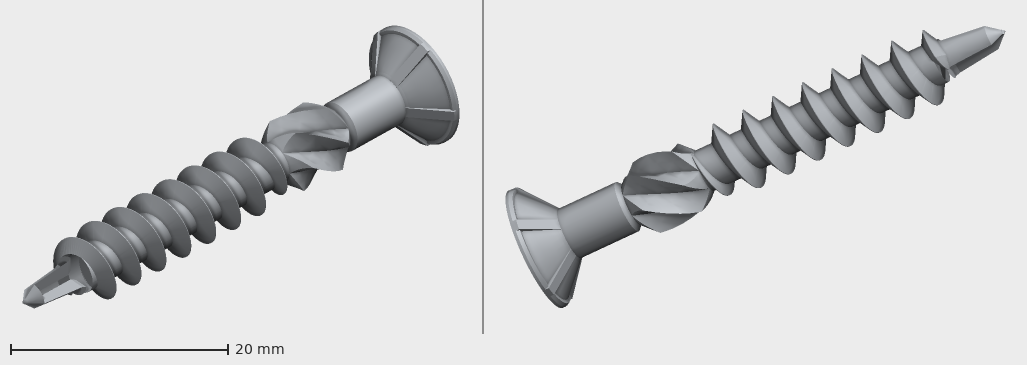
import cadquery as cq
import math


TOTAL_LENGTH = 48.97

HEAD_RADIUS = 11.9 / 2
RIM_HEIGHT = 0.3
RIM_CHAMFER_RADIUS = 5.75
RIM_BOTTOM = 0.65
CONE_TOP_RADIUS = 5.4
CONE_BOTTOM_RADIUS = 2.72
CONE_BOTTOM = 3.3
HEAD_BOTTOM = 3.55

RIB_COUNT = 5
RIB_WIDTH = 1.05

SHANK_RADIUS = 2.5
SHANK_BOTTOM = 10.0
CORE_RADIUS = 2.05
SHANK_CHAMFER = SHANK_RADIUS - CORE_RADIUS

REAMER_TOP = SHANK_BOTTOM
REAMER_LENGTH = 7.6
REAMER_RADIUS = 3.6
REAMER_TEETH = 6
REAMER_TWIST_RATE = 11.5
REAMER_START_ANGLE = 61.0
ENVELOPE_CLEARANCE = 0.15

THREAD_PITCH = 3.1
THREAD_RADIUS = 3.6
THREAD_ROOT_DEPTH = 1.65
THREAD_FLANK_SLOPE = 0.6
CREST_HALF_WIDTH = 0.03
THREAD_DEPTH_AT_ZERO = 15.8
LEAD_IN_START = 90.0
LEAD_IN_END = 450.0
FALL_START = 2880.0
RUN_OUT_START = 3114.0
RUN_OUT_END = 3158.0
LEAD_IN_RADIUS = 1.75
RUN_OUT_RADIUS = 3.12
END_RADIUS = 2.0
SAMPLES_PER_TURN = 24

TAPER_TOP = 42.1
TAPER_BOTTOM = 47.5
TAPER_BOTTOM_RADIUS = 1.38
FLUTE_TOP = 42.8
FLUTE_RAMP_LENGTH = 0.45
FLUTE_RAMP_INSET = 0.2
FLUTE_CHAMFER = 0.32


def make_body():
    """Revolved head, shank, core and drill point."""
    outline = [
        (0, 0),
        (HEAD_RADIUS, 0),
        (HEAD_RADIUS, RIM_HEIGHT),
        (RIM_CHAMFER_RADIUS, RIM_BOTTOM),
        (CONE_TOP_RADIUS, RIM_BOTTOM),
        (CONE_BOTTOM_RADIUS, CONE_BOTTOM),
        (SHANK_RADIUS, HEAD_BOTTOM),
        (SHANK_RADIUS, SHANK_BOTTOM - SHANK_CHAMFER),
        (CORE_RADIUS, SHANK_BOTTOM),
        (CORE_RADIUS, TAPER_TOP),
        (TAPER_BOTTOM_RADIUS, TAPER_BOTTOM),
        (0, TOTAL_LENGTH),
    ]
    return revolve_outline(outline)


def revolve_outline(outline):
    """Revolve a closed (radius, depth) outline about the screw axis."""
    return cq.Workplane("XZ").polyline(outline).close().revolve(360, (0, 0), (0, 1))


def make_ribs():
    """Flat-topped radial ribs running down the head cone to the shank."""
    rib = (
        cq.Workplane("XZ")
        .polyline([
            (0, RIM_HEIGHT),
            (HEAD_RADIUS, RIM_HEIGHT),
            (HEAD_RADIUS, RIM_BOTTOM),
            (SHANK_RADIUS, HEAD_BOTTOM),
            (0, HEAD_BOTTOM),
        ])
        .close()
        .extrude(RIB_WIDTH / 2, both=True)
    )
    ribs = rib
    for index in range(1, RIB_COUNT):
        ribs = ribs.union(rib.rotate((0, 0, 0), (0, 0, 1), index * 360 / RIB_COUNT))
    return ribs.intersect(cq.Workplane("XY").circle(HEAD_RADIUS).extrude(HEAD_BOTTOM))


def make_reamer():
    """Twisted star-shaped cutter with both ends bevelled at 45 degrees."""
    half_tooth = math.pi / REAMER_TEETH
    start = math.radians(REAMER_START_ANGLE)
    star = []
    for index in range(2 * REAMER_TEETH):
        radius = REAMER_RADIUS if index % 2 == 0 else CORE_RADIUS
        angle = start + index * half_tooth
        star.append((radius * math.cos(angle), radius * math.sin(angle)))
    cutter = (
        cq.Workplane("XY", origin=(0, 0, REAMER_TOP))
        .polyline(star)
        .close()
        .twistExtrude(REAMER_LENGTH, REAMER_TWIST_RATE * REAMER_LENGTH)
    )
    bottom = REAMER_TOP + REAMER_LENGTH
    outer_radius = REAMER_RADIUS + ENVELOPE_CLEARANCE
    bevel = outer_radius - CORE_RADIUS
    envelope = revolve_outline([
        (0, REAMER_TOP),
        (CORE_RADIUS, REAMER_TOP),
        (outer_radius, REAMER_TOP + bevel),
        (outer_radius, bottom - bevel),
        (CORE_RADIUS, bottom),
        (0, bottom),
    ])
    return cutter.intersect(envelope)


def thread_radius(degrees):
    """Crest radius: rising lead-in, full thread, slow fall and quick run-out."""
    stations = [
        (LEAD_IN_START, LEAD_IN_RADIUS),
        (LEAD_IN_END, THREAD_RADIUS),
        (FALL_START, THREAD_RADIUS),
        (RUN_OUT_START, RUN_OUT_RADIUS),
        (RUN_OUT_END, END_RADIUS),
    ]
    for (start, start_radius), (end, end_radius) in zip(stations, stations[1:]):
        if degrees <= end:
            break
    return start_radius + (end_radius - start_radius) * (degrees - start) / (end - start)


def helix_edge(start, end, inset, axial_offset):
    """Stretch of the crest helix, moved inward by inset and down by axial_offset."""
    steps = math.ceil(SAMPLES_PER_TURN * (end - start) / 360)
    points = []
    for step in range(steps + 1):
        degrees = start + (end - start) * step / steps
        angle = math.radians(degrees)
        radius = thread_radius(degrees) - inset
        depth = THREAD_DEPTH_AT_ZERO + THREAD_PITCH * degrees / 360 + axial_offset
        points.append(cq.Vector(radius * math.cos(angle), radius * math.sin(angle), depth))
    return cq.Edge.makeSpline(points)


def make_thread_stretch(start, end):
    """One stretch of thread: a near-triangular ridge bounded by four ruled faces."""
    root_half_width = CREST_HALF_WIDTH + THREAD_FLANK_SLOPE * THREAD_ROOT_DEPTH
    corners = [
        (THREAD_ROOT_DEPTH, -root_half_width),
        (0, -CREST_HALF_WIDTH),
        (0, CREST_HALF_WIDTH),
        (THREAD_ROOT_DEPTH, root_half_width),
    ]
    edges = [helix_edge(start, end, inset, offset) for inset, offset in corners]
    faces = [
        cq.Face.makeRuledSurface(edge, edges[(index + 1) % len(edges)])
        for index, edge in enumerate(edges)
    ]
    for position in (0, 1):
        cap_points = [edge.positionAt(position) for edge in edges]
        faces.append(cq.Face.makeFromWires(cq.Wire.makePolygon(cap_points, close=True)))
    return cq.Workplane(cq.Solid.makeSolid(cq.Shell.makeShell(faces)))


def flute_outline(inset):
    """Quarter cut-out in the -X, +Y corner with a chamfered inner corner."""
    reach = 2 * CORE_RADIUS
    corner = inset + FLUTE_CHAMFER
    return [(-corner, inset), (-inset, corner), (-inset, reach), (-reach, reach), (-reach, inset)]


def make_flute():
    """One flute of the drill tip: a sloped upper end, then straight down to the point."""
    ramp = (
        cq.Workplane("XY", origin=(0, 0, FLUTE_TOP))
        .polyline(flute_outline(FLUTE_RAMP_INSET))
        .close()
        .workplane(offset=FLUTE_RAMP_LENGTH)
        .polyline(flute_outline(0))
        .close()
        .loft(ruled=True)
    )
    straight_top = FLUTE_TOP + FLUTE_RAMP_LENGTH
    straight = (
        cq.Workplane("XY", origin=(0, 0, straight_top))
        .polyline(flute_outline(0))
        .close()
        .extrude(TOTAL_LENGTH - straight_top)
    )
    return ramp.union(straight)


screw = make_body().union(make_ribs()).union(make_reamer())
thread_breaks = [LEAD_IN_START, LEAD_IN_END, RUN_OUT_START, RUN_OUT_END]
for stretch_start, stretch_end in zip(thread_breaks, thread_breaks[1:]):
    screw = screw.union(make_thread_stretch(stretch_start, stretch_end))
for flute_angle in (0, 180):
    screw = screw.cut(make_flute().rotate((0, 0, 0), (0, 0, 1), flute_angle))

result = screw.rotate((0, 0, 0), (1, 0, 0), 90)